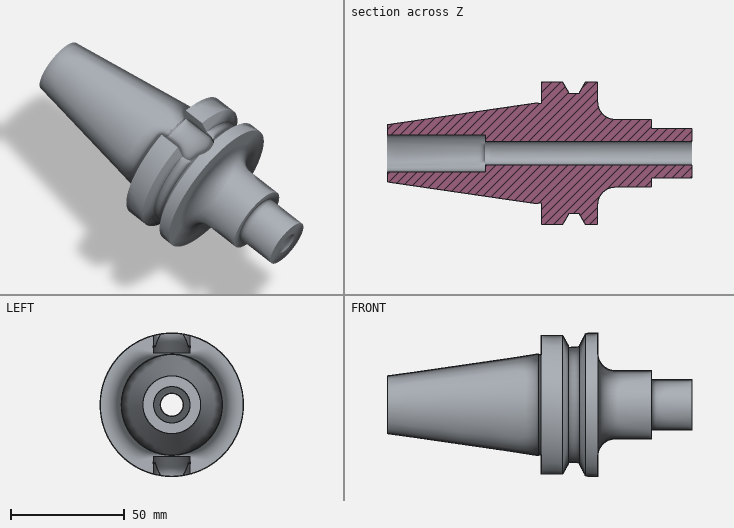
import cadquery as cq
import math


GAUGE_RADIUS = 44.45 / 2
TAPER_LENGTH = 65.4
TAPER_RATIO = 7 / 24
TAIL_RADIUS = GAUGE_RADIUS - TAPER_LENGTH * TAPER_RATIO / 2
TAIL_X = -TAPER_LENGTH

BAND_LENGTH = 0.8
NECK_RADIUS = 22.0

FLANGE_RADIUS = 63 / 2
FLANGE_FACE_X = 2.0
FLANGE_WIDTH = 25.0
FLANGE_BACK_X = FLANGE_FACE_X + FLANGE_WIDTH
GROOVE_CENTER_X = 16.5
GROOVE_FLOOR_RADIUS = 53 / 2
GROOVE_FLOOR_WIDTH = 4.8
GROOVE_MOUTH_WIDTH = 10.0
GROOVE_WALL_ANGLE = math.radians(30)
GROOVE_WALL_RUN = (GROOVE_MOUTH_WIDTH - GROOVE_FLOOR_WIDTH) / 2
GROOVE_WALL_FOOT_RADIUS = FLANGE_RADIUS - GROOVE_WALL_RUN / math.tan(GROOVE_WALL_ANGLE)

COLLAR_RADIUS = 15.0
COLLAR_FILLET = 7.5
PILOT_RADIUS = 11.0
PILOT_LENGTH = 17.7
TOTAL_LENGTH = 133.7
PILOT_END_X = TAIL_X + TOTAL_LENGTH
COLLAR_END_X = PILOT_END_X - PILOT_LENGTH

SLOT_WIDTH = 16.1
SLOT_LENGTH = 21.1
SLOT_FLOOR_Z = 22.7

THROUGH_BORE_RADIUS = 5.0
TAIL_BORE_RADIUS = 8.0
TAIL_BORE_DEPTH = 43.0


def turned_body():
    """Revolve the outer half-profile about the X axis."""
    groove_floor_start = GROOVE_CENTER_X - GROOVE_FLOOR_WIDTH / 2
    groove_floor_end = GROOVE_CENTER_X + GROOVE_FLOOR_WIDTH / 2
    mouth_start = GROOVE_CENTER_X - GROOVE_MOUTH_WIDTH / 2
    mouth_end = GROOVE_CENTER_X + GROOVE_MOUTH_WIDTH / 2
    fillet_diagonal = COLLAR_FILLET * (1 - math.sqrt(0.5))
    profile = (
        cq.Workplane("XY")
        .moveTo(TAIL_X, 0)
        .lineTo(TAIL_X, TAIL_RADIUS)
        .lineTo(0, GAUGE_RADIUS)
        .lineTo(BAND_LENGTH, GAUGE_RADIUS)
        .lineTo(BAND_LENGTH, NECK_RADIUS)
        .lineTo(FLANGE_FACE_X, NECK_RADIUS)
        .lineTo(FLANGE_FACE_X, FLANGE_RADIUS)
        .lineTo(mouth_start, FLANGE_RADIUS)
        .lineTo(groove_floor_start, GROOVE_WALL_FOOT_RADIUS)
        .lineTo(groove_floor_start, GROOVE_FLOOR_RADIUS)
        .lineTo(groove_floor_end, GROOVE_FLOOR_RADIUS)
        .lineTo(groove_floor_end, GROOVE_WALL_FOOT_RADIUS)
        .lineTo(mouth_end, FLANGE_RADIUS)
        .lineTo(FLANGE_BACK_X, FLANGE_RADIUS)
        .lineTo(FLANGE_BACK_X, COLLAR_RADIUS + COLLAR_FILLET)
        .threePointArc(
            (FLANGE_BACK_X + fillet_diagonal, COLLAR_RADIUS + fillet_diagonal),
            (FLANGE_BACK_X + COLLAR_FILLET, COLLAR_RADIUS),
        )
        .lineTo(COLLAR_END_X, COLLAR_RADIUS)
        .lineTo(COLLAR_END_X, PILOT_RADIUS)
        .lineTo(PILOT_END_X, PILOT_RADIUS)
        .lineTo(PILOT_END_X, 0)
        .close()
    )
    return profile.revolve(360, (0, 0, 0), (1, 0, 0))


def axial_bore(radius, depth):
    """Hole of the given depth along +X from the tail face."""
    return cq.Workplane("YZ").workplane(offset=TAIL_X).circle(radius).extrude(depth)


def drive_slot(side):
    """Round-ended slot open at the flange face; side is +1 for +Z and -1 for -Z."""
    half_width = SLOT_WIDTH / 2
    slot_end_x = FLANGE_FACE_X + SLOT_LENGTH
    return (
        cq.Workplane("XY")
        .workplane(offset=side * SLOT_FLOOR_Z)
        .moveTo(FLANGE_FACE_X, -half_width)
        .lineTo(slot_end_x - half_width, -half_width)
        .threePointArc((slot_end_x, 0), (slot_end_x - half_width, half_width))
        .lineTo(FLANGE_FACE_X, half_width)
        .close()
        .extrude(side * FLANGE_RADIUS)
    )


result = turned_body()
result = result.cut(axial_bore(THROUGH_BORE_RADIUS, TOTAL_LENGTH))
result = result.cut(axial_bore(TAIL_BORE_RADIUS, TAIL_BORE_DEPTH))
for slot_side in (1, -1):
    result = result.cut(drive_slot(slot_side))